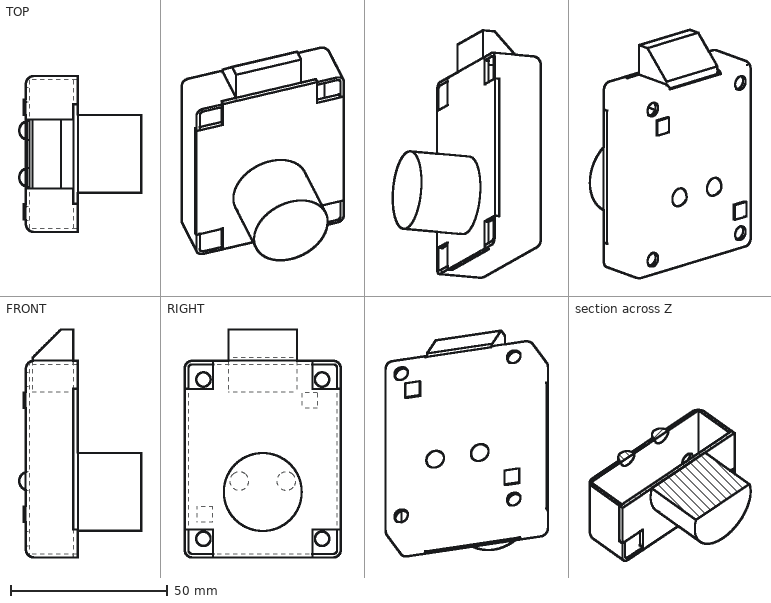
import cadquery as cq


HOUSING_DEPTH = 16.7
HOUSING_WIDTH = 50.0
HOUSING_HEIGHT = 63.0
WALL = 1.2
CORNER_RADIUS = 2.5
FRONT_EDGE_RADIUS = 2.7
HOUSING_TOP = HOUSING_HEIGHT / 2

MOUNTING_HOLE_DIAMETER = 4.5
MOUNTING_HOLE_SPACING_Y = 37.95
MOUNTING_HOLE_SPACING_Z = 50.95

COVER_THICKNESS = 1.45
COVER_CLEARANCE = 0.1
VERTICAL_ARM_WIDTH = 31.8
HORIZONTAL_ARM_HEIGHT = 45.05
COVER_FRONT = HOUSING_DEPTH - COVER_THICKNESS

BOLT_WIDTH = 22.05
BOLT_FRONT = 2.2
BOLT_BACK = COVER_FRONT
BOLT_THROW = 10.0
BOLT_INNER_LENGTH = 10.0
BOLT_BEVEL = 9.05
BOLT_TOP = HOUSING_TOP + BOLT_THROW
BOLT_BOTTOM = HOUSING_TOP - BOLT_INNER_LENGTH

BUTTON_RADIUS = 3.0
BUTTON_PROTRUSION = 2.1
BUTTON_SPACING = 15.05
BUTTON_Z = -7.0

PAD_SIDE = 5.0
PAD_THICKNESS = 0.65
PAD_CENTRES = [(15.0, 18.9), (-18.55, -17.6)]

CYLINDER_DIAMETER = 25.0
CYLINDER_LENGTH = 20.3
CYLINDER_Z = -10.5

MOUNTING_HOLE_CENTRES = [
    (side * MOUNTING_HOLE_SPACING_Y / 2, level * MOUNTING_HOLE_SPACING_Z / 2)
    for side in (-1, 1)
    for level in (-1, 1)
]
BUTTON_CENTRES = [(side * BUTTON_SPACING / 2, BUTTON_Z) for side in (-1, 1)]


def block(x_start, x_end, y_size, z_size):
    """Box between two X planes, centred on Y = 0 and Z = 0."""
    return cq.Workplane("YZ", origin=(x_start, 0, 0)).rect(y_size, z_size).extrude(x_end - x_start)


def cross(x_start, x_end, clearance):
    """Cross in the YZ plane that reaches the housing sides, its arms widened by a clearance on each side."""
    vertical_arm = block(x_start, x_end, VERTICAL_ARM_WIDTH + 2 * clearance, HOUSING_HEIGHT)
    horizontal_arm = block(x_start, x_end, HOUSING_WIDTH, HORIZONTAL_ARM_HEIGHT + 2 * clearance)
    return vertical_arm.union(horizontal_arm)


def front_wall_holes(centres, diameter):
    """Round cutters that pass through the front wall only."""
    return cq.Workplane("YZ").pushPoints(centres).circle(diameter / 2).extrude(WALL)


def bolt_slot():
    """Cutter for the bolt opening, as deep as the top wall and open to the front and the back."""
    slot = cq.Workplane("XY").rect(HOUSING_DEPTH, BOLT_WIDTH).extrude(WALL)
    return slot.translate((HOUSING_DEPTH / 2, 0, HOUSING_TOP - WALL))


def make_housing():
    shell = block(0, HOUSING_DEPTH, HOUSING_WIDTH, HOUSING_HEIGHT)
    shell = shell.edges("|X").fillet(CORNER_RADIUS)
    shell = shell.faces("<X").edges().fillet(FRONT_EDGE_RADIUS)

    cavity = block(WALL, HOUSING_DEPTH, HOUSING_WIDTH - 2 * WALL, HOUSING_HEIGHT - 2 * WALL)
    cavity = cavity.edges("|X").fillet(CORNER_RADIUS - WALL)

    return (
        shell.cut(cavity)
        .cut(cross(COVER_FRONT - COVER_CLEARANCE, HOUSING_DEPTH, COVER_CLEARANCE))
        .cut(bolt_slot())
        .cut(front_wall_holes(MOUNTING_HOLE_CENTRES, MOUNTING_HOLE_DIAMETER))
        .cut(front_wall_holes(BUTTON_CENTRES, 2 * BUTTON_RADIUS))
    )


def make_cover():
    return cross(COVER_FRONT, HOUSING_DEPTH, 0)


def make_bolt():
    bevel_end_x = BOLT_FRONT + BOLT_BEVEL
    bevel_start_z = BOLT_TOP - BOLT_BEVEL
    profile = [
        (BOLT_FRONT, BOLT_BOTTOM),
        (BOLT_BACK, BOLT_BOTTOM),
        (BOLT_BACK, BOLT_TOP),
        (bevel_end_x, BOLT_TOP),
        (BOLT_FRONT, bevel_start_z),
    ]
    return cq.Workplane("XZ").polyline(profile).close().extrude(BOLT_WIDTH / 2, both=True)


def make_button(y, z):
    """Short pin with a hemispherical head, ending level with the inside of the front wall."""
    head_centre_x = BUTTON_RADIUS - BUTTON_PROTRUSION
    head = cq.Workplane("XY").sphere(BUTTON_RADIUS).translate((head_centre_x, 0, 0))
    shank = cq.Workplane("YZ", origin=(head_centre_x, 0, 0)).circle(BUTTON_RADIUS).extrude(WALL - head_centre_x)
    front_half = block(-BUTTON_PROTRUSION, head_centre_x, 2 * BUTTON_RADIUS, 2 * BUTTON_RADIUS)
    return head.intersect(front_half).union(shank).translate((0, y, z))


def make_pad(y, z):
    return block(-PAD_THICKNESS, 0, PAD_SIDE, PAD_SIDE).translate((0, y, z))


def make_lock_cylinder():
    base = cq.Workplane("YZ", origin=(HOUSING_DEPTH, 0, CYLINDER_Z))
    return base.circle(CYLINDER_DIAMETER / 2).extrude(CYLINDER_LENGTH)


housing = make_housing()
cover = make_cover()
bolt = make_bolt()
buttons = [make_button(y, z) for y, z in BUTTON_CENTRES]
pads = [make_pad(y, z) for y, z in PAD_CENTRES]
lock_cylinder = make_lock_cylinder()

result = cq.Compound.makeCompound([
    housing.val(),
    cover.val(),
    bolt.val(),
    *[button.val() for button in buttons],
    *[pad.val() for pad in pads],
    lock_cylinder.val(),
])